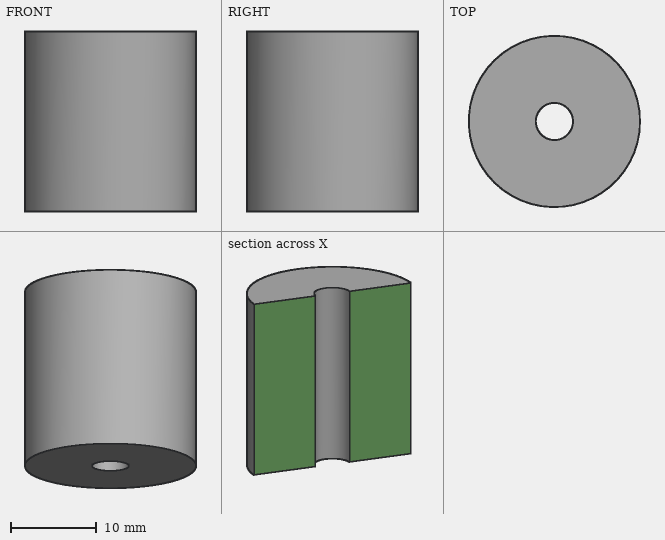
import cadquery as cq

height = 21.0
outer_diameter = 20.0
bore_diameter = 4.3

result = (
    cq.Workplane("XY")
    .circle(outer_diameter / 2)
    .circle(bore_diameter / 2)
    .extrude(height)
)